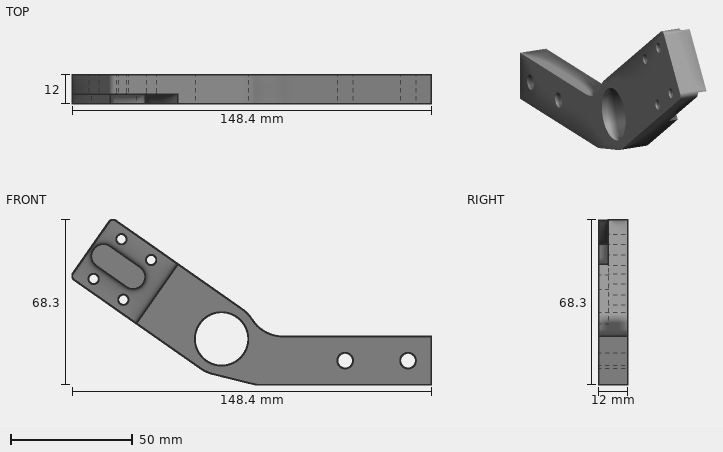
import cadquery as cq
import math

thickness = 12.0

bore_diameter = 22.0
hub_radius = 15.0

bar_end_x = 86.6
bar_height = 20.0
bar_bottom_z = -19.0
bar_top_z = bar_bottom_z + bar_height
bar_hole_diameter = 6.4
bar_hole_spacing = 26.0
bar_hole_end_distance = 9.6
inner_bend_radius = 15.0
bottom_corner_x = 14.4

arm_tilt = 35
arm_length = 65.9
arm_width = 2 * hub_radius
arm_corner_radius = 2.1

recess_depth = 4.0
recess_start = 32.5
lip_thickness = 0.1

pad_distance = 52.0
pad_width = 10.0
pad_length = 15.0 + pad_width
mount_distance = 50.0
mount_spacing_along = 15.0
mount_spacing_across = 20.0
mount_hole_diameter = 4.2


def on_hub(angle):
    """Point on the hub circle at an angle in degrees from +X."""
    return (hub_radius * math.cos(math.radians(angle)), hub_radius * math.sin(math.radians(angle)))


def plate(sketch):
    """Extrude a closed XZ sketch through the full plate thickness."""
    return sketch.extrude(-thickness)


def tilt(body):
    """Turn a body drawn along -X up to the direction of the arm."""
    return body.rotate((0, 0, 0), (0, 1, 0), arm_tilt)


def make_hub_and_bar():
    """Hub with the bar, a tangent underside and a blended inner bend."""
    corner_distance = math.hypot(bottom_corner_x, bar_bottom_z)
    corner_angle = math.degrees(math.atan2(bar_bottom_z, bottom_corner_x))
    tangent_angle = corner_angle - math.degrees(math.acos(hub_radius / corner_distance))

    bend_z = bar_top_z + inner_bend_radius
    bend_x = math.sqrt((hub_radius + inner_bend_radius) ** 2 - bend_z**2)
    bend_angle = math.degrees(math.atan2(bend_z, bend_x))
    middle_angle = math.radians((bend_angle + 180 + 270) / 2)
    bend_middle = (
        bend_x + inner_bend_radius * math.cos(middle_angle),
        bend_z + inner_bend_radius * math.sin(middle_angle),
    )

    outline = (
        cq.Workplane("XZ")
        .moveTo(*on_hub(tangent_angle))
        .lineTo(bottom_corner_x, bar_bottom_z)
        .lineTo(bar_end_x, bar_bottom_z)
        .lineTo(bar_end_x, bar_top_z)
        .lineTo(bend_x, bar_top_z)
        .threePointArc(bend_middle, on_hub(bend_angle))
        .threePointArc(on_hub(180), on_hub(tangent_angle))
        .close()
    )
    return plate(outline)


def make_arm():
    """Straight arm along -X with rounded end corners."""
    arm = plate(cq.Workplane("XZ").center(-arm_length / 2, 0).rect(arm_length, arm_width))
    return arm.edges("|Y and <X").fillet(arm_corner_radius)


def make_recess():
    """Recess volume between the lip and the step, leaving the pad standing."""
    recess_length = arm_length - lip_thickness - recess_start
    recess_middle = recess_start + recess_length / 2
    pocket = cq.Workplane("XZ").center(-recess_middle, 0).rect(recess_length, arm_width).extrude(-recess_depth)
    pad = cq.Workplane("XZ").center(-pad_distance, 0).slot2D(pad_length, pad_width).extrude(-recess_depth)
    return pocket.cut(pad)


def make_mount_holes():
    """Four through holes in a rectangle around the pad."""
    holes = (
        cq.Workplane("XZ")
        .center(-mount_distance, 0)
        .rarray(mount_spacing_along, mount_spacing_across, 2, 2)
        .circle(mount_hole_diameter / 2)
    )
    return plate(holes)


def make_bar_holes():
    """Two through holes on the bar's centre line."""
    last_hole_x = bar_end_x - bar_hole_end_distance
    centres = [(last_hole_x - i * bar_hole_spacing, bar_bottom_z + bar_height / 2) for i in range(2)]
    return plate(cq.Workplane("XZ").pushPoints(centres).circle(bar_hole_diameter / 2))


arm = make_arm().cut(make_recess()).cut(make_mount_holes())
bore = plate(cq.Workplane("XZ").circle(bore_diameter / 2))
result = make_hub_and_bar().union(tilt(arm)).cut(bore).cut(make_bar_holes())